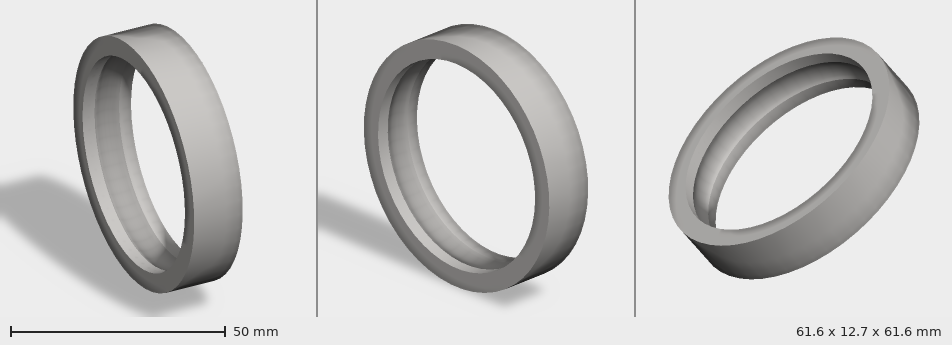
import cadquery as cq

outer_diameter = 61.6
bore_diameter = 52.1
width = 12.7

groove_width = 6.4
groove_depth = 1.5

outer_radius = outer_diameter / 2
bore_radius = bore_diameter / 2
half_width = width / 2
half_groove = groove_width / 2

section = (
    cq.Workplane("YZ")
    .moveTo(-half_width, bore_radius)
    .lineTo(-half_width, outer_radius)
    .lineTo(half_width, outer_radius)
    .lineTo(half_width, bore_radius)
    .lineTo(half_groove, bore_radius)
    .threePointArc((0, bore_radius + groove_depth), (-half_groove, bore_radius))
    .close()
)

result = section.revolve(360, (0, 0, 0), (1, 0, 0))